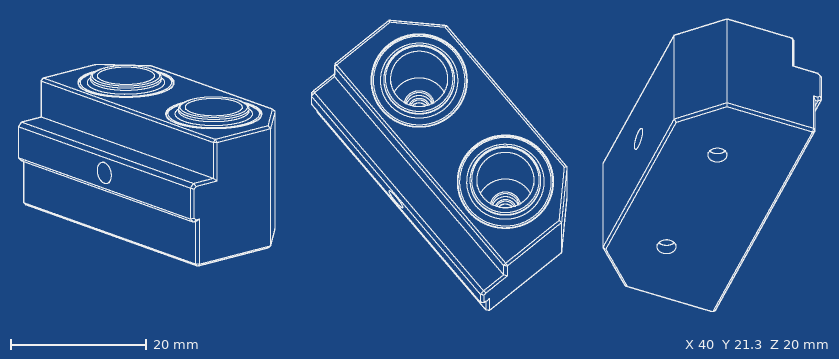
import cadquery as cq

length = 40.0
depth = 21.25
overall_height = 20.0
bush_protrusion = 1.05
block_height = overall_height - bush_protrusion

upper_depth = 16.8
lower_depth = 20.2
upper_front = depth - upper_depth
lower_front = depth - lower_depth
rail_bottom = 7.0
rail_top = 13.0
rail_bevel = 0.6

corner_cut = 6.0
edge_chamfer = 0.4

cross_hole_diameter = 3.2
cross_hole_height = (rail_bottom + rail_top) / 2

bush_spacing = length / 2
bush_centres_x = [-bush_spacing / 2, bush_spacing / 2]
bush_y = depth - 8.5
pocket_floor = 4.0
counterbore_diameter = 4.1
counterbore_floor = pocket_floor / 2
screw_hole_diameter = 2.8
hole_chamfer = 0.2
rim_chamfer = 0.1

bush_diameter = 14.0
bush_bore_diameter = 8.45
shoulder_chamfer = 0.25
taper_base_diameter = 11.45
lip_diameter = 10.45
lip_chamfer = 0.25
lip_height = 0.6


def is_back_corner(edge):
    """True for an upright edge in the rear half of the block."""
    is_upright = edge.BoundingBox().zlen > edge_chamfer
    return is_upright and edge.Center().y > depth / 2


def make_plain_block():
    """Stepped side profile with clipped back corners and bevelled edges."""
    body = (
        cq.Workplane("YZ")
        .workplane(offset=-length / 2)
        .moveTo(depth, 0)
        .lineTo(lower_front, 0)
        .lineTo(lower_front, rail_bottom)
        .lineTo(rail_bevel, rail_bottom)
        .lineTo(0, rail_bottom + rail_bevel)
        .lineTo(0, rail_top - rail_bevel)
        .lineTo(rail_bevel, rail_top)
        .lineTo(upper_front, rail_top)
        .lineTo(upper_front, block_height)
        .lineTo(depth, block_height)
        .close()
        .extrude(length)
    )
    body = body.edges("|Z and >Y").chamfer(corner_cut)

    outline = body.faces("<Z or >Z or <X or >X").edges()
    bevelled = [edge for edge in outline.vals() if not is_back_corner(edge)]
    return body.newObject(bevelled).chamfer(edge_chamfer)


def make_bush_hole():
    """Cutter for the stepped hole under one bush, on the Z axis, with bevelled mouths inside the block."""
    pocket_radius = bush_diameter / 2
    counterbore_radius = counterbore_diameter / 2
    screw_radius = screw_hole_diameter / 2
    return (
        cq.Workplane("XZ")
        .moveTo(0, 0)
        .lineTo(screw_radius, 0)
        .lineTo(screw_radius, counterbore_floor - hole_chamfer)
        .lineTo(screw_radius + hole_chamfer, counterbore_floor)
        .lineTo(counterbore_radius, counterbore_floor)
        .lineTo(counterbore_radius, pocket_floor - hole_chamfer)
        .lineTo(counterbore_radius + hole_chamfer, pocket_floor)
        .lineTo(pocket_radius, pocket_floor)
        .lineTo(pocket_radius, block_height - rim_chamfer)
        .lineTo(pocket_radius + rim_chamfer, block_height)
        .lineTo(0, block_height)
        .close()
        .revolve()
    )


def make_block():
    """Block with the cross hole and a stepped hole at each bush station."""
    block = make_plain_block()
    cross_hole = (
        cq.Workplane("XZ")
        .center(0, cross_hole_height)
        .circle(cross_hole_diameter / 2)
        .extrude(-depth)
    )
    block = block.cut(cross_hole)
    for x in bush_centres_x:
        block = block.cut(make_bush_hole().translate((x, bush_y, 0)))
    return block


def make_bush():
    """Bush on the Z axis, standing on the pocket floor."""
    bore_radius = bush_bore_diameter / 2
    outer_radius = bush_diameter / 2
    lip_radius = lip_diameter / 2
    return (
        cq.Workplane("XZ")
        .moveTo(bore_radius, pocket_floor)
        .lineTo(outer_radius, pocket_floor)
        .lineTo(outer_radius, block_height - shoulder_chamfer)
        .lineTo(outer_radius - shoulder_chamfer, block_height)
        .lineTo(taper_base_diameter / 2, block_height)
        .lineTo(lip_radius, overall_height - lip_height)
        .lineTo(lip_radius, overall_height - lip_chamfer)
        .lineTo(lip_radius - lip_chamfer, overall_height)
        .lineTo(bore_radius, overall_height)
        .close()
        .revolve()
    )


block = make_block()
bushes = [make_bush().translate((x, bush_y, 0)) for x in bush_centres_x]

result = cq.Compound.makeCompound([block.val(), *[bush.val() for bush in bushes]])